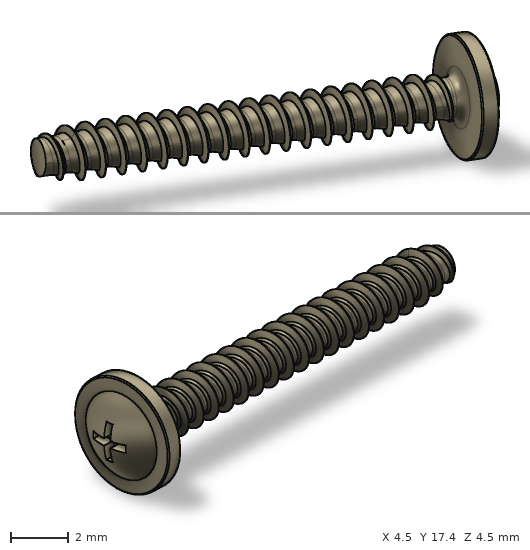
import cadquery as cq
import math

TOTAL_LENGTH = 17.37

FLANGE_DIAMETER = 4.5
FLANGE_RADIUS = FLANGE_DIAMETER / 2
FLANGE_THICKNESS = 0.66
FLANGE_CHAMFER = 0.05
DOME_RADIUS_AT_FLANGE = 1.68
DOME_HEIGHT = 0.75
DOME_SPHERE_RADIUS = (DOME_RADIUS_AT_FLANGE**2 + DOME_HEIGHT**2) / (2 * DOME_HEIGHT)
HEAD_HEIGHT = FLANGE_THICKNESS + DOME_HEIGHT

RECESS_SPAN = 1.53
RECESS_WIDTH = 0.3
RECESS_DEPTH = 0.52


def dome_drop(radius):
    """Distance of the dome below its apex at a given radius."""
    return DOME_SPHERE_RADIUS - math.sqrt(DOME_SPHERE_RADIUS**2 - radius**2)


HEAD_TOP_Y = HEAD_HEIGHT - dome_drop(RECESS_WIDTH / math.sqrt(2))

TIP_Y = HEAD_TOP_Y - TOTAL_LENGTH
NECK_RADIUS = 0.76
NECK_FILLET = 0.35
NECK_END_Y = -0.45
CORE_RADIUS = 0.68
CORE_START_Y = -0.76

PITCH = 0.78
RAMP_TURNS = 2
RAMP_LENGTH = RAMP_TURNS * PITCH
CREST_ON_X_Y = -1.34
FULL_START_Y = -1.25
FULL_END_Y = -14.76
POINTS_PER_TURN = 16

CREST_DIAMETER = 2.03
CREST_RADIUS = CREST_DIAMETER / 2
CREST_WIDTH = 0.026
BEND_RADIUS = 0.75
HEAD_SIDE_BEND = 0.113
HEAD_SIDE_BASE = 0.25
TIP_SIDE_BEND = 0.1
SKIRT_END = 0.5
SKIRT_RADIUS = 0.66
ROOT_RADIUS = 0.59
FADED_RADIUS = 0.65


def make_blank():
    """Head and plain shank as one turned body."""
    mid_radius = DOME_RADIUS_AT_FLANGE / 2
    fillet_mid = NECK_FILLET * (1 - math.sqrt(0.5))
    return (
        cq.Workplane("XY")
        .moveTo(0, TIP_Y)
        .lineTo(CORE_RADIUS, TIP_Y)
        .lineTo(CORE_RADIUS, CORE_START_Y)
        .lineTo(NECK_RADIUS, NECK_END_Y)
        .lineTo(NECK_RADIUS, -NECK_FILLET)
        .threePointArc((NECK_RADIUS + fillet_mid, -fillet_mid), (NECK_RADIUS + NECK_FILLET, 0))
        .lineTo(FLANGE_RADIUS - FLANGE_CHAMFER, 0)
        .lineTo(FLANGE_RADIUS, FLANGE_CHAMFER)
        .lineTo(FLANGE_RADIUS, FLANGE_THICKNESS - FLANGE_CHAMFER)
        .lineTo(FLANGE_RADIUS - FLANGE_CHAMFER, FLANGE_THICKNESS)
        .lineTo(DOME_RADIUS_AT_FLANGE, FLANGE_THICKNESS)
        .threePointArc((mid_radius, HEAD_HEIGHT - dome_drop(mid_radius)), (0, HEAD_HEIGHT))
        .close()
        .revolve(360, (0, 0, 0), (0, 1, 0))
    )


def make_cross_recess():
    """Two crossed slots that sink into the dome from its top."""
    center_y = HEAD_HEIGHT - RECESS_DEPTH / 2
    slot_along_x = cq.Workplane("XY").box(RECESS_SPAN, RECESS_DEPTH, RECESS_WIDTH)
    slot_along_z = cq.Workplane("XY").box(RECESS_WIDTH, RECESS_DEPTH, RECESS_SPAN)
    return slot_along_x.union(slot_along_z).translate((0, center_y, 0))


def helix_point(y, radius, offset):
    """Point on the thread at axial place y, shifted along the axis by offset."""
    angle = 2 * math.pi * (CREST_ON_X_Y - y) / PITCH
    return cq.Vector(radius * math.cos(angle), y + offset, radius * math.sin(angle))


def helix_edge(start_y, end_y, start_radius, end_radius, offset):
    """Helical curve whose radius changes evenly from start to end."""
    steps = math.ceil(POINTS_PER_TURN * (start_y - end_y) / PITCH)
    points = []
    for i in range(steps + 1):
        share = i / steps
        y = start_y + share * (end_y - start_y)
        points.append(helix_point(y, start_radius + share * (end_radius - start_radius), offset))
    return cq.Edge.makeSpline(points)


def section_corners(max_radius):
    """Radius and axial offset of the thread section corners, cut down to max_radius."""
    corners = [
        (ROOT_RADIUS, HEAD_SIDE_BASE),
        (SKIRT_RADIUS, HEAD_SIDE_BASE),
        (BEND_RADIUS, HEAD_SIDE_BEND),
        (CREST_RADIUS, CREST_WIDTH / 2),
        (CREST_RADIUS, -CREST_WIDTH / 2),
        (BEND_RADIUS, -TIP_SIDE_BEND),
        (SKIRT_RADIUS, -SKIRT_END),
        (ROOT_RADIUS, -SKIRT_END),
    ]
    return [(min(radius, max_radius), offset) for radius, offset in corners]


def cap_face(y, max_radius):
    """Thread section that closes the thread at one end."""
    corners = [helix_point(y, radius, offset) for radius, offset in section_corners(max_radius)]
    return cq.Face.makeFromWires(cq.Wire.makePolygon(corners, close=True))


def make_thread():
    """Fading start, full-height stretch and fading end joined into one ridge."""
    stations = [
        (FULL_START_Y + RAMP_LENGTH, FADED_RADIUS),
        (FULL_START_Y, CREST_RADIUS),
        (FULL_END_Y, CREST_RADIUS),
        (FULL_END_Y - RAMP_LENGTH, FADED_RADIUS),
    ]
    faces = [cap_face(*stations[0]), cap_face(*stations[-1])]
    for (start_y, start_max), (end_y, end_max) in zip(stations, stations[1:]):
        starts = section_corners(start_max)
        ends = section_corners(end_max)
        edges = [
            helix_edge(start_y, end_y, start_radius, end_radius, offset)
            for (start_radius, offset), (end_radius, _) in zip(starts, ends)
        ]
        for edge, next_edge in zip(edges, edges[1:] + edges[:1]):
            faces.append(cq.Face.makeRuledSurface(edge, next_edge))
    return cq.Workplane(cq.Solid.makeSolid(cq.Shell.makeShell(faces)))


def make_tip_trim():
    """Block beyond the tip that removes the thread end standing past it."""
    side = FLANGE_DIAMETER
    return cq.Workplane("XY").box(side, RAMP_LENGTH, side).translate((0, TIP_Y - RAMP_LENGTH / 2, 0))


thread = make_thread().cut(make_tip_trim())
result = make_blank().cut(make_cross_recess()).union(thread)